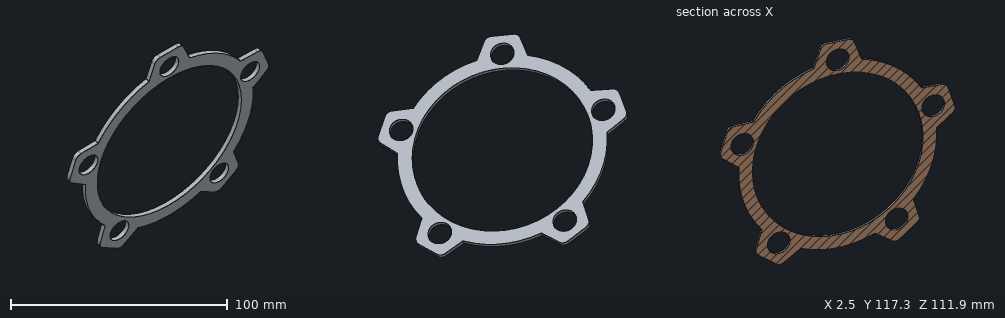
import cadquery as cq
import math

thickness = 2.5
bore_radius = 42.4
ring_radius = 49.5

lug_count = 5
lug_tip_radius = 59.8
lug_tip_half_width = 7.7
lug_side_angle = 20
lug_corner_radius = 3.5
hole_circle_radius = 50.0
hole_diameter = 11.0

lug_root_radius = (bore_radius + ring_radius) / 2
lug_height = lug_tip_radius - lug_root_radius
lug_root_half_width = lug_tip_half_width + lug_height * math.tan(math.radians(lug_side_angle))


def plate_plane():
    """YZ workplane on the -X face of the plate."""
    return cq.Workplane("YZ", origin=(-thickness / 2, 0, 0))


def make_lug():
    """Lug pointing along +Z, with its straight tip rounded at both corners."""
    return (
        plate_plane()
        .polyline([
            (-lug_root_half_width, lug_root_radius),
            (lug_root_half_width, lug_root_radius),
            (lug_tip_half_width, lug_tip_radius),
            (-lug_tip_half_width, lug_tip_radius),
        ])
        .close()
        .extrude(thickness)
        .edges("|X and >Z")
        .fillet(lug_corner_radius)
    )


def around_axis(shape, index):
    """Turn a +Z-pointing feature to the given lug position."""
    return shape.rotate((0, 0, 0), (1, 0, 0), index * 360 / lug_count)


lug = make_lug()
bolt_hole = plate_plane().center(0, hole_circle_radius).circle(hole_diameter / 2).extrude(thickness)

result = plate_plane().circle(ring_radius).extrude(thickness)
for i in range(lug_count):
    result = result.union(around_axis(lug, i))
for i in range(lug_count):
    result = result.cut(around_axis(bolt_hole, i))
result = result.cut(plate_plane().circle(bore_radius).extrude(thickness))